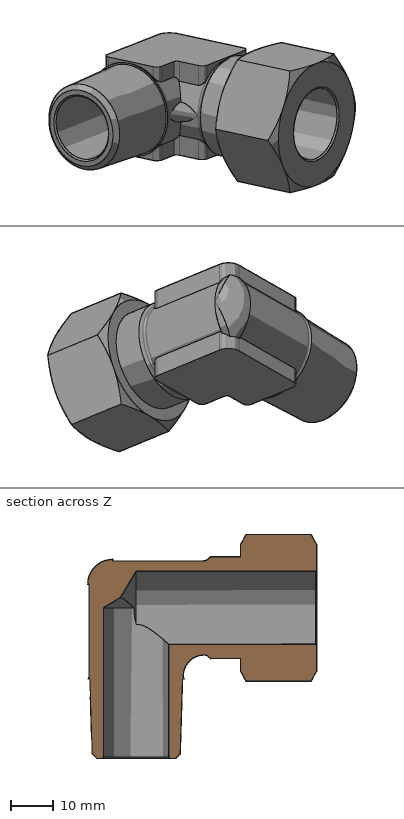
import cadquery as cq
import math


PIPE_RADIUS = 11.15
BODY_REACH = 16.05
PLATE_HEIGHT = 23.1
PLATE_SIDE_X = 8.0
PLATE_SIDE_Y = 8.9
OUTER_CORNER_RADIUS = 3.25
END_CORNER_RADIUS = 1.5
NOTCH_RADIUS = 1.0

BACK_SECTION_RADIUS = 11.45
BACK_OFFSET = 5.5
WEB_SECTION_RADIUS = 2.4

RING_LENGTH = 0.75
RING_RADIUS = 11.4
RING_END = BODY_REACH + RING_LENGTH

SPIGOT_END = 35.55
SPIGOT_ROOT_RADIUS = 10.95
SPIGOT_CHAMFER = 1.15
TAPER = 1 / 32

COLLAR_RADIUS = 12.05
COLLAR_START = 17.5
NUT_START = 24.5
NUT_END = 42.55
NUT_SIDES = 6
NUT_FLATS = 30.0
NUT_CHAMFER_ANGLE = 30

SPIGOT_BORE_RADIUS = 7.65
NUT_BORE_RADIUS = 8.6
DRILL_POINT_ANGLE = 118
MOUTH_CHAMFER = 0.4


def turned_about_x(outline):
    """Solid of revolution about X; the outline lies in XY with Y as the radius."""
    return outline.close().revolve(360, (0, 0, 0), (1, 0, 0))


def x_to_minus_y(solid):
    """Swing a solid lying along +X round to -Y."""
    return solid.rotate((0, 0, 0), (0, 0, 1), -90)


def pipe_leg():
    """Pipe along +X, from the rounded elbow back to a concave flare."""
    sagitta = RING_RADIUS - PIPE_RADIUS
    flare_radius = (RING_LENGTH**2 + sagitta**2) / (2 * sagitta)
    return turned_about_x(
        cq.Workplane("XY")
        .moveTo(-BACK_OFFSET, 0)
        .lineTo(-BACK_OFFSET, PIPE_RADIUS)
        .lineTo(BODY_REACH, PIPE_RADIUS)
        .radiusArc((RING_END, RING_RADIUS), -flare_radius)
        .lineTo(RING_END, 0)
    )


def plate():
    """L-shaped block around both legs, with rounded vertical corners."""
    bottom = -PLATE_HEIGHT / 2
    blank = (
        cq.Workplane("XY", origin=(0, 0, bottom))
        .moveTo(-PLATE_SIDE_X, -BODY_REACH)
        .lineTo(PLATE_SIDE_X, -BODY_REACH)
        .lineTo(PLATE_SIDE_X, -PLATE_SIDE_Y)
        .lineTo(BODY_REACH, -PLATE_SIDE_Y)
        .lineTo(BODY_REACH, PLATE_SIDE_Y)
        .lineTo(-PLATE_SIDE_X, PLATE_SIDE_Y)
        .close()
        .extrude(PLATE_HEIGHT)
    )

    def round_corner(body, x, y, radius):
        corner = cq.selectors.NearestToPointSelector((x, y, 0))
        return body.edges("|Z").edges(corner).fillet(radius)

    blank = round_corner(blank, -PLATE_SIDE_X, PLATE_SIDE_Y, OUTER_CORNER_RADIUS)
    blank = round_corner(blank, PLATE_SIDE_X, -PLATE_SIDE_Y, NOTCH_RADIUS)
    for x in (-PLATE_SIDE_X, PLATE_SIDE_X):
        blank = round_corner(blank, x, -BODY_REACH, END_CORNER_RADIUS)
    for y in (-PLATE_SIDE_Y, PLATE_SIDE_Y):
        blank = round_corner(blank, BODY_REACH, y, END_CORNER_RADIUS)
    return blank


def elbow_back():
    """Rounded end of a cylinder about Y, trimmed to a cylinder about X, at the outer corner."""
    end_rounding = BACK_SECTION_RADIUS - BACK_OFFSET
    rounded_end = (
        cq.Workplane("XY")
        .moveTo(0, BACK_OFFSET)
        .lineTo(-BACK_SECTION_RADIUS, BACK_OFFSET)
        .radiusArc((-BACK_OFFSET, BACK_SECTION_RADIUS), end_rounding)
        .lineTo(0, BACK_SECTION_RADIUS)
        .close()
        .revolve(360, (0, 0, 0), (0, 1, 0))
    )
    trim_cylinder = (
        cq.Workplane("YZ", origin=(-BACK_OFFSET, 0, 0))
        .circle(BACK_SECTION_RADIUS)
        .extrude(-end_rounding)
    )
    return rounded_end.intersect(trim_cylinder)


def inner_web():
    """Quarter turn of a round bar, just touching both pipes at its ends."""
    bar_centre = PIPE_RADIUS - WEB_SECTION_RADIUS - BODY_REACH
    return (
        cq.Workplane("XZ", origin=(BODY_REACH, -BODY_REACH, 0))
        .center(bar_centre, 0)
        .circle(WEB_SECTION_RADIUS)
        .revolve(90, (-bar_centre, 0, 0), (-bar_centre, -1, 0))
    )


def spigot():
    """Tapered spigot with a chamfered end, drawn along +X."""
    taper_end = SPIGOT_END - SPIGOT_CHAMFER
    tip_radius = SPIGOT_ROOT_RADIUS - TAPER * (taper_end - RING_END)
    return turned_about_x(
        cq.Workplane("XY")
        .lineTo(0, SPIGOT_ROOT_RADIUS)
        .lineTo(RING_END, SPIGOT_ROOT_RADIUS)
        .lineTo(taper_end, tip_radius)
        .lineTo(SPIGOT_END, tip_radius - SPIGOT_CHAMFER)
        .lineTo(SPIGOT_END, 0)
    )


def collar():
    """Collar between the elbow and the nut, with a bevelled start."""
    return turned_about_x(
        cq.Workplane("XY")
        .moveTo(RING_END, 0)
        .lineTo(RING_END, RING_RADIUS)
        .lineTo(COLLAR_START, COLLAR_RADIUS)
        .lineTo(NUT_START, COLLAR_RADIUS)
        .lineTo(NUT_START, 0)
    )


def nut():
    """Hexagon nut with flats facing +Z and -Z and both ends chamfered."""
    across_corners = NUT_FLATS / math.cos(math.pi / NUT_SIDES)
    corner_radius = across_corners / 2
    face_radius = NUT_FLATS / 2
    bevel = (corner_radius - face_radius) * math.tan(math.radians(NUT_CHAMFER_ANGLE))
    hexagon = (
        cq.Workplane("YZ", origin=(NUT_START, 0, 0))
        .polygon(NUT_SIDES, across_corners)
        .extrude(NUT_END - NUT_START)
    )
    envelope = turned_about_x(
        cq.Workplane("XY")
        .moveTo(NUT_START, 0)
        .lineTo(NUT_START, face_radius)
        .lineTo(NUT_START + bevel, corner_radius)
        .lineTo(NUT_END - bevel, corner_radius)
        .lineTo(NUT_END, face_radius)
        .lineTo(NUT_END, 0)
    )
    return hexagon.intersect(envelope)


def bore(length, radius):
    """Drilled hole along +X, with its conical tip behind the origin and a chamfered mouth."""
    tip_length = radius / math.tan(math.radians(DRILL_POINT_ANGLE / 2))
    return turned_about_x(
        cq.Workplane("XY")
        .moveTo(-tip_length, 0)
        .lineTo(0, radius)
        .lineTo(length - MOUTH_CHAMFER, radius)
        .lineTo(length, radius + MOUTH_CHAMFER)
        .lineTo(length, 0)
    )


result = (
    pipe_leg()
    .union(x_to_minus_y(pipe_leg()))
    .union(plate())
    .union(elbow_back())
    .union(inner_web())
    .union(x_to_minus_y(spigot()))
    .union(collar())
    .union(nut())
    .cut(bore(NUT_END, NUT_BORE_RADIUS))
    .cut(x_to_minus_y(bore(SPIGOT_END, SPIGOT_BORE_RADIUS)))
)